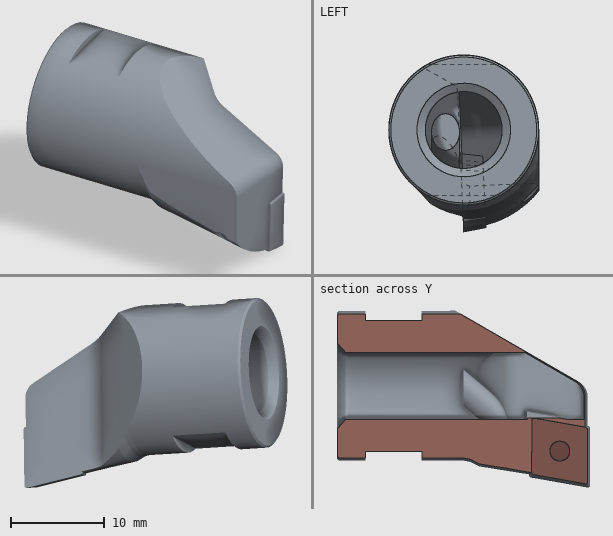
import cadquery as cq
import math

SHANK_DIA = 16.0
SHANK_RADIUS = SHANK_DIA / 2
RIM_CHAMFER = 0.22
BORE_DIA = 8.2
BORE_MOUTH_DIA = 10.0
FLAT_START = 3.02
FLAT_LENGTH = 6.0
FLAT_HALF_HEIGHT = 7.0

SKIRT_START = 13.6
SKIRT_BLEND_X, SKIRT_BLEND_RADIUS = 14.2, 8.13
SKIRT_KNEE_X, SKIRT_KNEE_RADIUS = 15.17, 8.6
SKIRT_FLARE_ANGLE = 9.0
SLOPE_START = 12.64
SLOPE_ANGLE = 30.0
END_X = 26.7
END_ANGLE = 6.6
END_EDGE_RADIUS = 1.78
RELIEF_START = 11.0
RELIEF_ANGLE = 45.0
RELIEF_RADIUS = 2.0
WALL = 0.15
REACH = 35.1
PICK = 1.08

INSERT_EDGE = 6.6
INSERT_CORNER_ANGLE = 80.0
INSERT_THICKNESS = 2.38
INSERT_TAPER = 7.0
INSERT_NOSE_RADIUS = 0.22
RAKE_ANGLE = 2.5
TIP_X = 27.0
TIP_Z = -10.9
INSERT_LUG_MARGIN = 0.55

SCREW_DIA = 2.05
SCREW_HEAD_DIA = 2.8
SCREW_HEAD_DEPTH = 0.8
SCREW_LENGTH = 6.48
SCREW_TIP_CHAMFER = 0.2

POST_DIA = 3.0
POST_FACE_X = 13.5
POST_Y = 1.95
POST_FACE_Z = -0.22
POST_ANGLE = 40.0


def tan(degrees):
    return math.tan(math.radians(degrees))


def sin(degrees):
    return math.sin(math.radians(degrees))


def cos(degrees):
    return math.cos(math.radians(degrees))


RAKE = cq.Plane(
    origin=(TIP_X, 0, TIP_Z),
    xDir=(1, 0, 0),
    normal=(0, -cos(RAKE_ANGLE), sin(RAKE_ANGLE)),
)
RHOMBUS_SHIFT_X = -INSERT_EDGE * sin(INSERT_CORNER_ANGLE)
RHOMBUS_SHIFT_Y = INSERT_EDGE * cos(INSERT_CORNER_ANGLE)
INSERT_CENTER = (RHOMBUS_SHIFT_X / 2, (INSERT_EDGE + RHOMBUS_SHIFT_Y) / 2)


def head_limits(wall):
    """Space behind the end face and below the slope, inset by a wall."""
    end_x = END_X - wall / cos(END_ANGLE)
    lean = REACH * tan(END_ANGLE)
    block = (
        cq.Workplane("XY", origin=(0, 0, -REACH))
        .polyline([(-REACH, -REACH), (end_x - lean, -REACH), (end_x + lean, REACH), (-REACH, REACH)])
        .close()
        .extrude(2 * REACH)
    )
    fall = tan(SLOPE_ANGLE)
    slope_z = SHANK_RADIUS + SLOPE_START * fall - wall / cos(SLOPE_ANGLE)
    above_slope = (
        cq.Workplane("XZ", origin=(0, 2 * REACH, 0))
        .polyline([
            (-2 * REACH, slope_z + 2 * REACH * fall),
            (2 * REACH, slope_z - 2 * REACH * fall),
            (2 * REACH, 4 * REACH),
            (-2 * REACH, 4 * REACH),
        ])
        .close()
        .extrude(4 * REACH)
    )
    end_edge = cq.selectors.BoxSelector(
        (end_x - PICK, -PICK, -REACH), (end_x + PICK, PICK, REACH),
    )
    return block.cut(above_slope).edges(end_edge).fillet(END_EDGE_RADIUS)


def side_relief(wall):
    """Block removed from the +Y side, grown towards -Y by a wall; it leans with the rake."""
    rake_y = -TIP_Z * tan(RAKE_ANGLE)
    face_y = rake_y - wall
    ramp_x = RELIEF_START - wall / sin(RELIEF_ANGLE)
    corner_x = ramp_x + (SHANK_RADIUS - face_y) / tan(RELIEF_ANGLE)
    far_x = corner_x - (REACH - face_y) / tan(RELIEF_ANGLE)
    block = (
        cq.Workplane("XY", origin=(0, 0, -REACH))
        .polyline([(corner_x, face_y), (REACH, face_y), (REACH, REACH), (far_x, REACH)])
        .close()
        .extrude(2 * REACH)
    )
    corner = cq.selectors.BoxSelector(
        (corner_x - PICK, face_y - PICK, -PICK), (corner_x + PICK, face_y + PICK, PICK),
    )
    return block.edges(corner).fillet(RELIEF_RADIUS).rotate((0, 0, 0), (1, 0, 0), -RAKE_ANGLE)


def insert_blank(margin):
    """Tapered rhombus of the insert, grown by a margin on all its flanks."""
    blank = (
        cq.Workplane(RAKE)
        .polyline([
            (0, 0),
            (0, INSERT_EDGE),
            (RHOMBUS_SHIFT_X, INSERT_EDGE + RHOMBUS_SHIFT_Y),
            (RHOMBUS_SHIFT_X, RHOMBUS_SHIFT_Y),
        ])
        .close()
    )
    if margin > 0:
        blank = blank.offset2D(margin, "intersection")
    return blank.extrude(INSERT_THICKNESS, taper=INSERT_TAPER)


def make_screw():
    """Countersunk screw along the insert axis, head flush with the rake plane."""
    radius = SCREW_DIA / 2
    shank = cq.Workplane(RAKE).center(*INSERT_CENTER).circle(radius).extrude(SCREW_LENGTH)
    shank = shank.faces("<Y").chamfer(SCREW_TIP_CHAMFER)
    head = (
        cq.Workplane(RAKE)
        .center(*INSERT_CENTER)
        .circle(SCREW_HEAD_DIA / 2)
        .workplane(offset=SCREW_HEAD_DEPTH)
        .circle(radius)
        .loft()
    )
    return shank.union(head)


def round_noses(blank):
    """Round the four slanting corner edges of the insert."""
    rims = blank.faces(cq.selectors.ParallelDirSelector(RAKE.zDir)).edges().vals()
    corners = [edge for edge in blank.edges().vals() if not any(edge.isSame(rim) for rim in rims)]
    return blank.newObject(corners).fillet(INSERT_NOSE_RADIUS)


def make_insert(blank, screw):
    """Indexable insert with a hole that fits the screw."""
    return blank.cut(screw)


def make_skirt():
    """Flared skirt below the axis, with its -Y side flush with the shank."""
    end_radius = SKIRT_KNEE_RADIUS + (REACH - SKIRT_KNEE_X) * tan(SKIRT_FLARE_ANGLE)
    flare = (
        cq.Workplane("XY")
        .polyline([
            (SKIRT_START, 0),
            (SKIRT_START, SHANK_RADIUS),
            (SKIRT_BLEND_X, SKIRT_BLEND_RADIUS),
            (SKIRT_KNEE_X, SKIRT_KNEE_RADIUS),
            (REACH, end_radius),
            (REACH, 0),
        ])
        .close()
        .revolve(360, (0, 0, 0), (1, 0, 0))
    )
    lower_side = cq.Workplane("XY").box(REACH, REACH, REACH, centered=False)
    return flare.intersect(lower_side.translate((SKIRT_START, -SHANK_RADIUS, -REACH)))


def make_post():
    """Slanted round post, cut off square to the bore axis."""
    axis_direction = (cos(POST_ANGLE), 0, -sin(POST_ANGLE))
    axis_plane = cq.Plane(origin=(POST_FACE_X, POST_Y, POST_FACE_Z), xDir=(0, 1, 0), normal=axis_direction)
    column = cq.Workplane(axis_plane).circle(POST_DIA / 2).extrude(REACH, both=True)
    beyond_face = cq.Workplane("YZ", origin=(POST_FACE_X, 0, 0)).rect(REACH, REACH).extrude(REACH)
    return column.intersect(beyond_face)


def make_cavity():
    """Bore that ends along the outer cuts, keeping the post and the lug behind the insert."""
    cavity = cq.Workplane("YZ").circle(BORE_DIA / 2).extrude(REACH)
    cavity = cavity.intersect(head_limits(WALL)).cut(side_relief(WALL))
    return cavity.cut(insert_blank(INSERT_LUG_MARGIN)).cut(make_post())


def make_holder(blank, screw):
    """Boring head body with the insert pocket and the screw hole."""
    holder = cq.Workplane("YZ").circle(SHANK_RADIUS).extrude(REACH).faces("<X").chamfer(RIM_CHAMFER)
    holder = holder.union(make_skirt()).intersect(head_limits(0)).cut(side_relief(0))
    flat_cutter = cq.Workplane("XY").box(FLAT_LENGTH, SHANK_DIA, SHANK_RADIUS, centered=(False, True, False))
    holder = holder.cut(flat_cutter.translate((FLAT_START, 0, FLAT_HALF_HEIGHT)))
    holder = holder.cut(flat_cutter.translate((FLAT_START, 0, -FLAT_HALF_HEIGHT - SHANK_RADIUS)))
    holder = holder.cut(make_cavity())
    countersink_depth = (BORE_MOUTH_DIA - BORE_DIA) / 2
    countersink = (
        cq.Workplane("YZ")
        .circle(BORE_MOUTH_DIA / 2)
        .workplane(offset=countersink_depth)
        .circle(BORE_DIA / 2)
        .loft()
    )
    screw_hole = cq.Workplane(RAKE).center(*INSERT_CENTER).circle(SCREW_DIA / 2).extrude(REACH)
    return holder.cut(countersink).cut(blank).cut(screw_hole).cut(screw)


screw = make_screw()
blank = round_noses(insert_blank(0))
insert = make_insert(blank, screw)
holder = make_holder(blank, screw)

result = cq.Compound.makeCompound([holder.val(), insert.val(), screw.val()])